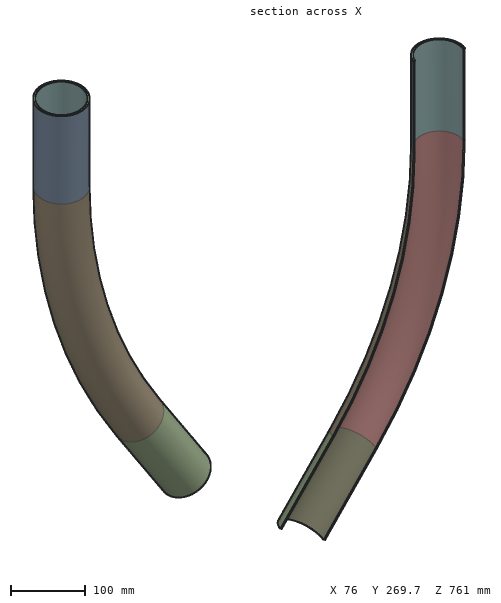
import cadquery as cq
import math

overall_height = 761.0
outer_diameter = 76.0
inner_diameter = 70.0
straight_length = 152.0
bend_angle = 30.0

sin_bend = math.sin(math.radians(bend_angle))
cos_bend = math.cos(math.radians(bend_angle))
lower_rim_drop = outer_diameter / 2 * sin_bend
bend_height = overall_height - straight_length * (1 + cos_bend) - lower_rim_drop
bend_radius = bend_height / sin_bend


def bend_point(angle):
    """Point (y, z) on the bend centreline, at an angle in degrees below the upper tangent."""
    turn = math.radians(angle)
    return bend_radius * (1 - math.cos(turn)), -bend_radius * math.sin(turn)


bend_end_y, bend_end_z = bend_point(bend_angle)
lower_end = (
    bend_end_y + straight_length * sin_bend,
    bend_end_z - straight_length * cos_bend,
)
centreline = (
    cq.Workplane("YZ")
    .moveTo(0, straight_length)
    .lineTo(0, 0)
    .threePointArc(bend_point(bend_angle / 2), (bend_end_y, bend_end_z))
    .lineTo(*lower_end)
)

result = (
    cq.Workplane("XY", origin=(0, 0, straight_length))
    .circle(outer_diameter / 2)
    .circle(inner_diameter / 2)
    .sweep(centreline)
)